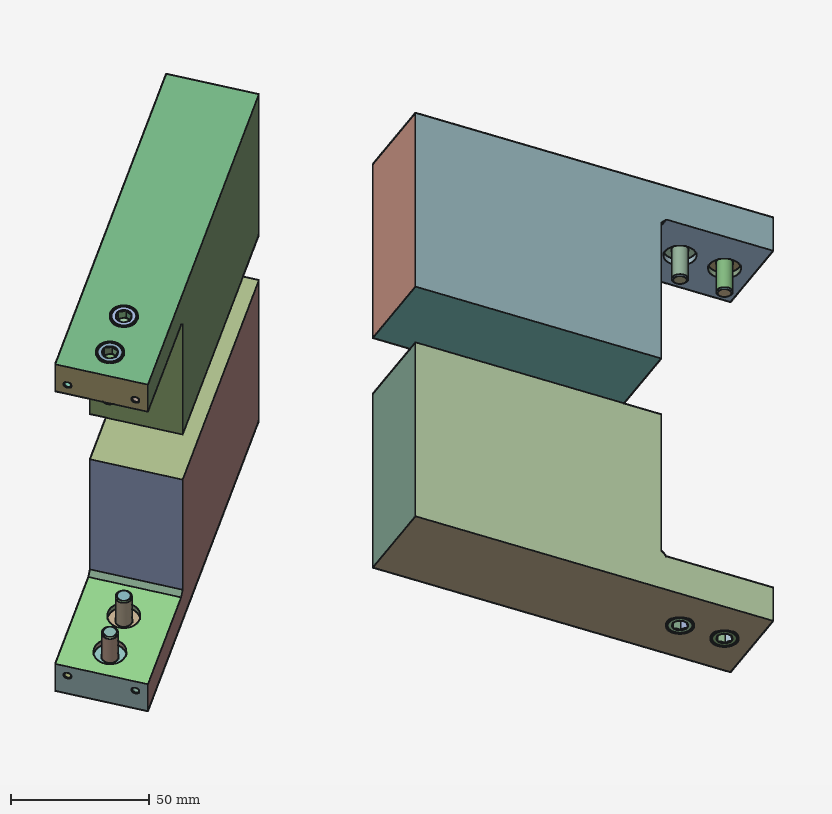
import cadquery as cq
import math

WIDTH = 35.0
LENGTH = 144.0
HEIGHT = 181.0

BLOCK_HEIGHT = 78.0
ARM_LENGTH = 45.0
ARM_THICKNESS = 15.0
CORNER_CHAMFER = 2.0

SCREW_FROM_TIP = 11.0
SCREW_SPACING = 18.0
SCREW_DIAMETER = 6.0
SCREW_PROTRUSION = 11.0
SCREW_TIP_CHAMFER = 0.5
HEAD_DIAMETER = 10.0
HEAD_HEIGHT = 6.0
HEAD_CHAMFER = 0.5
SOCKET_ACROSS_FLATS = 5.0
SOCKET_DEPTH = 4.0
SOCKET_TURN = 30.0
SOCKET_CONE_ANGLE = 120.0

COUNTERBORE_DIAMETER = 10.3
CLEARANCE_DIAMETER = 6.3
RECESS_DIAMETER = 12.0
RECESS_DEPTH = 2.5

TIP_HOLE_DIAMETER = 2.5
TIP_HOLE_DEPTH = 8.0
TIP_HOLE_CHAMFER = 0.27
TIP_HOLE_FROM_SIDE = 4.7
TIP_HOLE_FROM_OUTSIDE = 10.0
DRILL_POINT_ANGLE = 118.0

TIP_Y = -LENGTH / 2
BACK_Y = LENGTH / 2
TOP_Z = HEIGHT / 2
ARM_INNER_Z = TOP_Z - ARM_THICKNESS
HEAD_SEAT_Z = TOP_Z - HEAD_HEIGHT
SCREW_END_Z = ARM_INNER_Z - SCREW_PROTRUSION
SCREW_YS = [TIP_Y + SCREW_FROM_TIP + i * SCREW_SPACING for i in range(2)]
TIP_HOLE_X = WIDTH / 2 - TIP_HOLE_FROM_SIDE


def cone_height(diameter, point_angle):
    """Height of a cone with the given base diameter and full angle at its point."""
    return diameter / 2 / math.tan(math.radians(point_angle / 2))


def cylinder(diameter, y, low_z, high_z):
    """Vertical cylinder on the arm's centre line."""
    return cq.Workplane("XY", origin=(0, y, low_z)).circle(diameter / 2).extrude(high_z - low_z)


def bracket_blank():
    """L-shaped profile in the YZ plane, with a chamfered inner corner."""
    block_front_y = TIP_Y + ARM_LENGTH
    block_bottom_z = TOP_Z - BLOCK_HEIGHT
    return (
        cq.Workplane("YZ", origin=(-WIDTH / 2, 0, 0))
        .moveTo(TIP_Y, TOP_Z)
        .lineTo(BACK_Y, TOP_Z)
        .lineTo(BACK_Y, block_bottom_z)
        .lineTo(block_front_y, block_bottom_z)
        .lineTo(block_front_y, ARM_INNER_Z - CORNER_CHAMFER)
        .lineTo(block_front_y - CORNER_CHAMFER, ARM_INNER_Z)
        .lineTo(TIP_Y, ARM_INNER_Z)
        .close()
        .extrude(WIDTH)
    )


def screw_hole(y):
    """Counterbore from the outside, clearance hole, and a shallow recess on the inside."""
    counterbore = cylinder(COUNTERBORE_DIAMETER, y, HEAD_SEAT_Z, TOP_Z)
    clearance = cylinder(CLEARANCE_DIAMETER, y, ARM_INNER_Z, TOP_Z)
    recess = cylinder(RECESS_DIAMETER, y, ARM_INNER_Z, ARM_INNER_Z + RECESS_DEPTH)
    return counterbore.union(clearance).union(recess)


def tip_hole(x):
    """Blind hole along Y with a chamfered mouth and a conical bottom, revolved about its own axis."""
    radius = TIP_HOLE_DIAMETER / 2
    point_depth = TIP_HOLE_DEPTH + cone_height(TIP_HOLE_DIAMETER, DRILL_POINT_ANGLE)
    profile = [
        (0, 0),
        (radius + TIP_HOLE_CHAMFER, 0),
        (radius, TIP_HOLE_CHAMFER),
        (radius, TIP_HOLE_DEPTH),
        (0, point_depth),
    ]
    return (
        cq.Workplane("XY", origin=(x, TIP_Y, TOP_Z - TIP_HOLE_FROM_OUTSIDE))
        .polyline(profile)
        .close()
        .revolve(360, (0, 0, 0), (0, 1, 0))
    )


def make_bracket():
    """Upper bracket, with its arm along the top."""
    bracket = bracket_blank()
    for y in SCREW_YS:
        bracket = bracket.cut(screw_hole(y))
    for x in (-TIP_HOLE_X, TIP_HOLE_X):
        bracket = bracket.cut(tip_hole(x))
    return bracket


def key_socket(y):
    """Hexagonal key socket, corners along Y, with a round 45-degree lead-in, ending in a cone."""
    across_corners = SOCKET_ACROSS_FLATS / math.cos(math.pi / 6)
    lead_in_radius = across_corners / 2
    lead_in = cq.Solid.makeCone(
        lead_in_radius,
        0,
        lead_in_radius,
        pnt=cq.Vector(0, y, TOP_Z),
        dir=cq.Vector(0, 0, -1),
    )
    floor_z = TOP_Z - SOCKET_DEPTH
    hexagon = (
        cq.Workplane("XY", origin=(0, y, floor_z))
        .transformed(rotate=(0, 0, SOCKET_TURN))
        .polygon(6, across_corners)
        .extrude(SOCKET_DEPTH)
    )
    point = cq.Solid.makeCone(
        SOCKET_ACROSS_FLATS / 2,
        0,
        cone_height(SOCKET_ACROSS_FLATS, SOCKET_CONE_ANGLE),
        pnt=cq.Vector(0, y, floor_z),
        dir=cq.Vector(0, 0, -1),
    )
    return hexagon.union(cq.Workplane(point)).union(cq.Workplane(lead_in))


def make_screw(y):
    """Upper socket-head screw: chamfered head flush with the outside, tip pointing down."""
    head = cylinder(HEAD_DIAMETER, y, HEAD_SEAT_Z, TOP_Z).faces(">Z").chamfer(HEAD_CHAMFER)
    shank = cylinder(SCREW_DIAMETER, y, SCREW_END_Z, HEAD_SEAT_Z)
    shank = shank.faces("<Z").chamfer(SCREW_TIP_CHAMFER)
    return head.union(shank).cut(key_socket(y))


upper_bodies = [make_bracket()] + [make_screw(y) for y in SCREW_YS]
lower_bodies = [body.mirror("XY") for body in upper_bodies]

result = cq.Compound.makeCompound([body.val() for body in upper_bodies + lower_bodies])